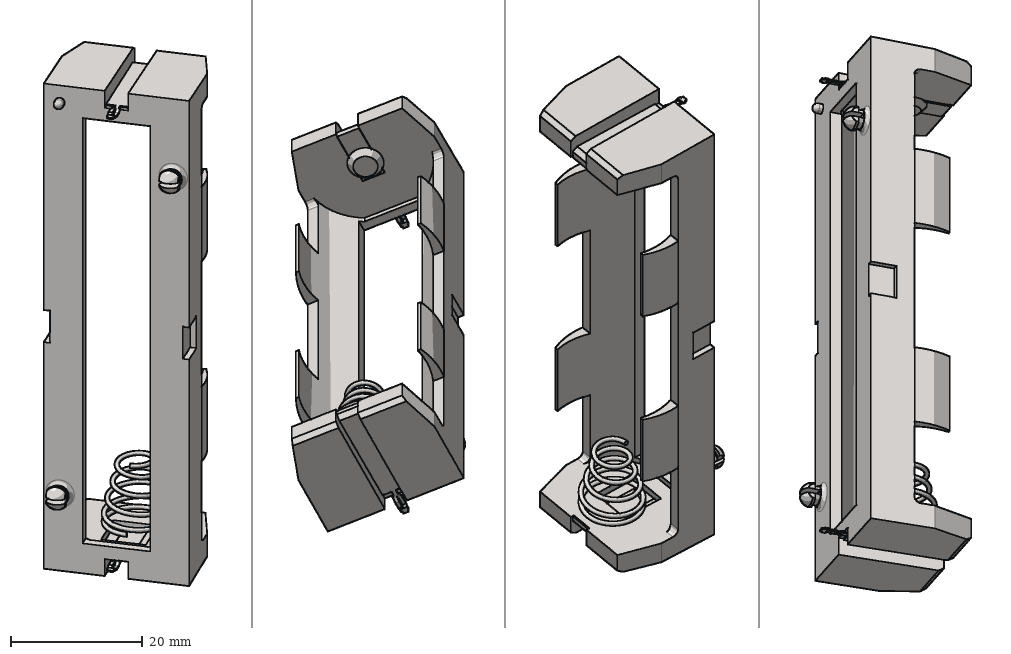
import cadquery as cq
import math


length = 82.2
width = 23.0
mid_z = length / 2
wall_height = 7.15
jaw_height = 17.35
jaw_thickness = 4.1
jaw_tip_width = 18.65
jaw_taper_start = 10.4
jaw_draft = 0.3
tip_chamfer_y = 0.9
tip_chamfer_z = 0.6
jaw_root_fillet = 1.0

cell_axis_y = 10.8
cradle_radius = 10.35
window_width = 10.7
window_length = 72.0
window_lip = 1.5
clip_span = 23.3
clip_axis_y = 8.5
clip_tip_y = 13.3
clip_length = 12.65
clip_offset = 16.9

notch_depth = 1.0
notch_height = 4.2
notch_length = 5.4

post_x = 8.95
post_offset = 27.95
post_base_diameter = 3.2
post_base_height = 0.65
post_neck_diameter = 2.95
post_head_diameter = 3.8
post_head_start = 1.6
post_head_rim = 0.4
post_tip = 3.45
post_head_flats = 2.95
post_slot_width = 0.7
post_slot_start = 0.7
pip_offset = 38.2
pip_diameter = 1.6
pip_straight = 0.65

strip_width = 3.7
strip_thickness = 0.25
strip_start_y = 0.8
strip_tip_y = 17.0
groove_depth = 2.9
groove_floor_z = length - groove_depth
bend_inside_scale = 1 - strip_thickness * (
    1 / tip_chamfer_y + 1 / tip_chamfer_z - math.hypot(1 / tip_chamfer_y, 1 / tip_chamfer_z)
)
bend_inside_y = tip_chamfer_y * bend_inside_scale
bend_inside_z = tip_chamfer_z * bend_inside_scale
contact_leg_end_y = 7.9

pin_length = 3.6
pin_width = 1.3
pin_shoulder_width = 0.7
pin_tip_width = 0.9
pin_tip_length = 0.4
tine_bow = 0.25
tine_bow_start = 0.25
tine_bow_full = 1.1
tine_bow_release = 2.2
tine_bow_end = 2.7

button_base_diameter = 5.6
button_tip_diameter = 3.8
button_height = 1.0
spring_wire = 0.7
spring_base_radius = 4.8
spring_top_radius = 2.8
spring_turns = 5
spring_pitch = 2.8
closing_turns = 1.5
ending_turns = 0.8
taper_start_turn = 1.6
taper_end_turn = 4.0
points_per_turn = 16

seat_size = 7.1
seat_start_y = 4.0


def block(x0, x1, y0, y1, z0, z1):
    """Box between the given limits."""
    return cq.Workplane("XY").box(x1 - x0, y1 - y0, z1 - z0, centered=False).translate((x0, y0, z0))


def centred_block(size_x, y0, y1, z0, z1):
    """Box centred on x = 0."""
    return block(-size_x / 2, size_x / 2, y0, y1, z0, z1)


def extrude_across(outline, x0, x1):
    """Prism along X of a closed outline given as (y, z) points."""
    return cq.Workplane("YZ").polyline(outline).close().extrude(x1 - x0).translate((x0, 0, 0))


def turn_end_for_end(shape):
    """Half turn about the Y line through mid length: carries the top end to the bottom end."""
    return shape.rotate((0, 0, mid_z), (0, 1, mid_z), 180)


def frame():
    """C-shaped side profile, narrowed towards the jaw tips."""
    half_outline = [
        (0, 0), (jaw_height - tip_chamfer_y, jaw_draft), (jaw_height, jaw_draft + tip_chamfer_z),
        (jaw_height, jaw_thickness), (wall_height, jaw_thickness),
    ]
    mirrored_half = [(y, length - z) for y, z in reversed(half_outline)]
    plan_outline = [
        (-width / 2, 0), (width / 2, 0), (width / 2, jaw_taper_start), (jaw_tip_width / 2, jaw_height),
        (-jaw_tip_width / 2, jaw_height), (-width / 2, jaw_taper_start),
    ]
    body = extrude_across(half_outline + mirrored_half, -width / 2, width / 2)
    root_margin = jaw_root_fillet / 2
    inner_roots = cq.selectors.BoxSelector(
        (-width, wall_height - root_margin, root_margin),
        (width, wall_height + root_margin, length - root_margin),
    )
    body = body.edges("|X").edges(inner_roots).fillet(jaw_root_fillet)
    return body.intersect(cq.Workplane("XY").polyline(plan_outline).close().extrude(length))


def upright_cylinder(radius, axis_y, z0, z1):
    """Cylinder along Z with its axis at x = 0."""
    return cq.Workplane("XY", origin=(0, axis_y, z0)).circle(radius).extrude(z1 - z0)


def cell_cavity():
    """Round cradle behind the rim, and the window through the mounting face."""
    cradle = upright_cylinder(cradle_radius, cell_axis_y, jaw_thickness, length - jaw_thickness)
    behind_rim = centred_block(width, window_lip, jaw_height, 0, length)
    window = centred_block(
        window_width, 0, wall_height, mid_z - window_length / 2, mid_z + window_length / 2
    )
    return cradle.intersect(behind_rim).union(window)


def clip_pair(centre_z):
    """Two facing arc-shaped clips that carry on from the cradle wall."""
    z0 = centre_z - clip_length / 2
    z1 = centre_z + clip_length / 2
    outside = upright_cylinder(clip_span / 2, clip_axis_y, z0, z1)
    inside = upright_cylinder(cradle_radius, cell_axis_y, z0, z1)
    return outside.cut(inside).intersect(centred_block(clip_span, wall_height, clip_tip_y, z0, z1))


def side_notches():
    z0 = mid_z - notch_length / 2
    z1 = mid_z + notch_length / 2
    inner_x = width / 2 - notch_depth
    left = block(-width / 2, -inner_x, 0, notch_height, z0, z1)
    return left.union(block(inner_x, width / 2, 0, notch_height, z0, z1))


def strip_groove():
    """Groove over the top jaw that seats a terminal strip around the jaw tip."""
    seat_y = strip_tip_y - strip_thickness
    outline = [
        (0, groove_floor_z), (seat_y - bend_inside_y, groove_floor_z),
        (seat_y, groove_floor_z - bend_inside_z), (seat_y, length - jaw_thickness),
        (jaw_height, length - jaw_thickness), (jaw_height, length), (0, length),
    ]
    return extrude_across(outline, -strip_width / 2, strip_width / 2)


def spring_seat():
    """Square recess in the bottom jaw, open to the strip below it."""
    return centred_block(
        seat_size, seat_start_y, seat_start_y + seat_size, groove_depth, jaw_thickness
    )


def snap_post(x, z):
    """Split post: filleted base, neck and a domed head with two flats."""
    base_radius = post_base_diameter / 2
    neck_radius = post_neck_diameter / 2
    head_radius = post_head_diameter / 2
    diagonal = math.sqrt(0.5)
    fillet_mid = post_base_height * (1 - diagonal)
    dome_start = post_head_start + post_head_rim
    dome_height = post_tip - dome_start
    dome_radius = (head_radius ** 2 + dome_height ** 2) / (2 * dome_height)
    half_angle = math.asin(head_radius / dome_radius) / 2
    dome_mid_x = dome_radius * math.sin(half_angle)
    dome_mid_y = dome_radius * (1 - math.cos(half_angle)) - post_tip
    half_section = (
        cq.Workplane("XY")
        .moveTo(0, 0)
        .lineTo(base_radius + post_base_height, 0)
        .threePointArc((base_radius + fillet_mid, -fillet_mid), (base_radius, -post_base_height))
        .lineTo(neck_radius, -post_base_height)
        .lineTo(neck_radius, -post_head_start)
        .lineTo(head_radius, -post_head_start)
        .lineTo(head_radius, -dome_start)
        .threePointArc((dome_mid_x, dome_mid_y), (0, -post_tip))
        .close()
    )
    post = half_section.revolve(360, (0, 0, 0), (0, 1, 0))
    for side in (-1, 1):
        flat_x = side * (post_head_flats + head_radius) / 2
        trim = cq.Workplane("XY").box(head_radius, post_tip - post_base_height, post_head_diameter)
        post = post.cut(trim.translate((flat_x, -(post_tip + post_base_height) / 2, 0)))
    slot = centred_block(
        post_head_diameter, -post_tip, -post_slot_start, -post_slot_width / 2, post_slot_width / 2
    )
    return post.cut(slot).translate((x, 0, z))


def locating_pip():
    """Short round-ended peg at one corner."""
    radius = pip_diameter / 2
    diagonal = radius * math.sqrt(0.5)
    half_section = (
        cq.Workplane("XY")
        .moveTo(0, 0)
        .lineTo(radius, 0)
        .lineTo(radius, -pip_straight)
        .threePointArc((diagonal, -pip_straight - diagonal), (0, -pip_straight - radius))
        .close()
    )
    return half_section.revolve(360, (0, 0, 0), (0, 1, 0)).translate((-post_x, 0, mid_z + pip_offset))


def make_housing():
    body = frame().cut(cell_cavity()).cut(side_notches())
    body = body.cut(strip_groove()).cut(turn_end_for_end(strip_groove())).cut(spring_seat())
    for side in (-1, 1):
        body = body.union(clip_pair(mid_z + side * clip_offset))
        body = body.union(snap_post(side * post_x, mid_z + side * post_offset))
    return body.union(locating_pip())


def pin_tine(side):
    """One half of a pin, bowed up on the left and down on the right."""
    bow = -side * tine_bow
    bend = [
        (strip_start_y, 0), (-tine_bow_start, 0), (-tine_bow_full, bow),
        (-tine_bow_release, bow), (-tine_bow_end, 0), (-pin_length, 0),
    ]
    lower = [(y, groove_floor_z + z) for y, z in bend]
    upper = [(y, z + strip_thickness) for y, z in reversed(lower)]
    outer_x = side * pin_width / 2
    return extrude_across(lower + upper, min(0, outer_x), max(0, outer_x))


def pin():
    """Two tines joined at the tip, with a narrow shoulder inside the groove."""
    shoulder = pin_shoulder_width / 2
    tip = pin_tip_width / 2
    blade = pin_width / 2
    plan = [
        (-shoulder, strip_start_y), (-shoulder, 0), (-blade, 0), (-blade, pin_tip_length - pin_length),
        (-tip, pin_tip_length - pin_length), (-tip, -pin_length), (tip, -pin_length),
        (tip, pin_tip_length - pin_length), (blade, pin_tip_length - pin_length), (blade, 0),
        (shoulder, 0), (shoulder, strip_start_y),
    ]
    outline = cq.Workplane("XY").polyline(plan).close().extrude(length)
    return pin_tine(-1).union(pin_tine(1)).intersect(outline)


def make_terminal():
    """Strip along the top groove, bent over the jaw tip, with its pin."""
    outer_z = groove_floor_z + strip_thickness
    inner_y = strip_tip_y - strip_thickness
    leg_end_z = length - jaw_thickness
    outline = [
        (strip_start_y, groove_floor_z), (strip_start_y, outer_z), (strip_tip_y - tip_chamfer_y, outer_z),
        (strip_tip_y, outer_z - tip_chamfer_z), (strip_tip_y, leg_end_z), (inner_y, leg_end_z),
        (inner_y, groove_floor_z - bend_inside_z), (inner_y - bend_inside_y, groove_floor_z),
    ]
    return extrude_across(outline, -strip_width / 2, strip_width / 2).union(pin())


def make_contact_terminal():
    """Terminal with a leg that runs back under the top jaw."""
    ceiling_z = length - jaw_thickness
    leg = centred_block(
        strip_width, contact_leg_end_y, strip_tip_y, ceiling_z - strip_thickness, ceiling_z
    )
    return make_terminal().union(leg)


def make_spring_terminal():
    return turn_end_for_end(make_terminal())


def make_contact_button():
    """Cone standing on the inner leg of the contact terminal, pointing at the spring."""
    base_z = length - jaw_thickness - strip_thickness
    base = cq.Workplane("XY", origin=(0, cell_axis_y, base_z)).circle(button_base_diameter / 2)
    return base.workplane(offset=-button_height).circle(button_tip_diameter / 2).loft()


def spring_rise(turn):
    """Height gained after a number of turns; the pitch opens from zero and closes again at the end."""
    opening = min(turn, closing_turns)
    rise = opening ** 2 / (2 * closing_turns) + max(turn - closing_turns, 0)
    closing = max(turn - (spring_turns - ending_turns), 0)
    return spring_pitch * (rise - closing ** 2 / (2 * ending_turns))


def spring_radius(turn):
    """Coil radius, tapering from the wide base coil to the narrow top coil."""
    progress = (turn - taper_start_turn) / (taper_end_turn - taper_start_turn)
    progress = min(max(progress, 0), 1)
    return spring_base_radius + (spring_top_radius - spring_base_radius) * progress


def spring_point(turn):
    """Point on the wire's centre line; the coil starts on the -Y side and climbs clockwise."""
    angle = 2 * math.pi * turn
    radius = spring_radius(turn)
    x = -radius * math.sin(angle)
    y = cell_axis_y - radius * math.cos(angle)
    return cq.Vector(x, y, jaw_thickness + spring_wire / 2 + spring_rise(turn))


def make_spring():
    steps = spring_turns * points_per_turn
    centre_line = cq.Edge.makeSpline([spring_point(i / points_per_turn) for i in range(steps + 1)])
    start = cq.Plane(origin=centre_line.startPoint(), normal=centre_line.tangentAt(0))
    path = cq.Workplane(cq.Wire.assembleEdges([centre_line]))
    return cq.Workplane(start).circle(spring_wire / 2).sweep(path, isFrenet=True)


housing = make_housing()
contact_terminal = make_contact_terminal()
spring_terminal = make_spring_terminal()
contact_button = make_contact_button()
spring = make_spring()

bodies = [housing, contact_terminal, spring_terminal, contact_button, spring]
result = cq.Compound.makeCompound([body.solids().val() for body in bodies])